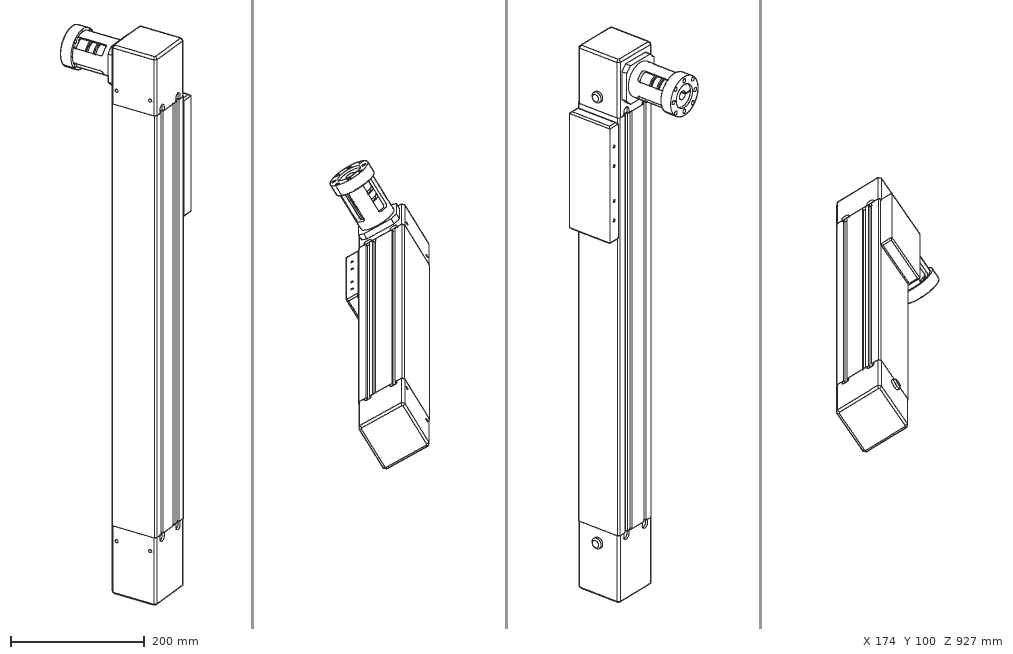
import cadquery as cq
import math


beam_width = 80.0
half_width = beam_width / 2
axis_length = 927
end_housing_top = 116.0
drive_housing_bottom = 829.0
housing_chamfer = 4.0
profile_chamfer = 3.0

side_hole_diameter = 5.0
side_hole_depth = 9.0
side_hole_offset = 30.0
drive_hole_z = 853.0
end_hole_z = 92.0
button_diameter = 18.0
button_height = 6.5
button_chamfer = 3.0

slot_width = 6.0
slot_depth = 4.0
slot_offset = 22.0
sensor_slot_y = 11.0
notch_width = 12.0
notch_length = 12.0

carriage_width = 78.0
carriage_length = 200.0
carriage_centre_z = 722.0
carriage_top = 60.0
carriage_chamfer = 3.0
carriage_hole_diameter = 4.2
carriage_hole_depth = 7.0
carriage_hole_inset = 10.0
carriage_hole_offsets = (30.0, 63.0)

adapter_z = 882.5
adapter_length = 94.0
adapter_front = -half_width - adapter_length
base_size = 66.0
base_thickness = 9.0
base_corner = 9.0
tube_diameter = 57.5
tube_bore = 44.0
flange_diameter = 66.0
flange_thickness = 19.0
flange_bore = 39.0
flange_hole_diameter = 6.5
straight_hole_radius = 26.0
diagonal_hole_radius = 29.0
window_width = 19.0
window_length = 51.0
window_corner = 4.0

coupling_recess = 4.0
coupling_front = adapter_front + coupling_recess
coupling_diameter = 38.0
coupling_bore = 14.0
coupling_waist_diameter = 31.0
front_hub_length = 31.0
waist_length = 5.0
spider_length = 9.0
clamp_slit = 1.4


def box_between(x_range, y_range, z_range):
    """Box given by its lower and upper limits along each axis."""
    limits = (x_range, y_range, z_range)
    sizes = [upper - lower for lower, upper in limits]
    corner = cq.Vector(*[lower for lower, _ in limits])
    return cq.Workplane(cq.Solid.makeBox(*sizes, corner))


def x_cylinder(diameter, x_start, length, y=0, z=adapter_z):
    """Cylinder whose axis runs along +X from x_start."""
    start = cq.Vector(x_start, y, z)
    return cq.Workplane(cq.Solid.makeCylinder(diameter / 2, length, start, cq.Vector(1, 0, 0)))


def y_cylinder(diameter, y_start, length, x, z):
    """Cylinder whose axis runs along +Y from y_start."""
    start = cq.Vector(x, y_start, z)
    return cq.Workplane(cq.Solid.makeCylinder(diameter / 2, length, start, cq.Vector(0, 1, 0)))


def notch(side, y, joint_z, direction):
    """Round-ended pocket that runs from the profile joint into the housing side."""
    radius = notch_width / 2
    x_start = half_width - slot_depth if side > 0 else -half_width
    round_z = joint_z + direction * (notch_length - radius)
    z_range = sorted((joint_z, round_z))
    x_range = (x_start, x_start + slot_depth)
    straight = box_between(x_range, (y - radius, y + radius), z_range)
    return straight.union(x_cylinder(notch_width, x_start, slot_depth, y, round_z))


def make_housing(bottom, top, outer_face, hole_z, joint_z, direction):
    """End block of the axis; outer_face selects its free end, direction points away from the joint."""
    block = cq.Workplane("XY").box(beam_width, beam_width, top - bottom)
    block = block.translate((0, 0, (top + bottom) / 2))
    block = block.edges("|Z").chamfer(housing_chamfer)
    block = block.faces(outer_face).chamfer(housing_chamfer)
    for x in (-side_hole_offset, side_hole_offset):
        block = block.cut(y_cylinder(side_hole_diameter, -half_width, side_hole_depth, x, hole_z))
    for side in (-1, 1):
        for y in (-slot_offset, slot_offset):
            block = block.cut(notch(side, y, joint_z, direction))
    button = y_cylinder(button_diameter, half_width, button_height, 0, hole_z)
    return block.union(button.faces(">Y").chamfer(button_chamfer))


def make_profile():
    """Extruded beam between the two housings."""
    length = drive_housing_bottom - end_housing_top
    beam = cq.Workplane("XY").workplane(offset=end_housing_top)
    beam = beam.rect(beam_width, beam_width).extrude(length)
    beam = beam.edges("|Z").chamfer(profile_chamfer)
    z_range = (end_housing_top, drive_housing_bottom)
    for y in (-slot_offset, sensor_slot_y, slot_offset):
        y_range = (y - slot_width / 2, y + slot_width / 2)
        beam = beam.cut(box_between((-half_width, slot_depth - half_width), y_range, z_range))
        beam = beam.cut(box_between((half_width - slot_depth, half_width), y_range, z_range))
    return beam


def make_carriage():
    """Sliding plate on the +Y face of the profile."""
    half_length = carriage_length / 2
    plate = box_between(
        (-carriage_width / 2, carriage_width / 2),
        (half_width, carriage_top),
        (carriage_centre_z - half_length, carriage_centre_z + half_length),
    )
    plate = plate.faces("<Z or >Z").chamfer(carriage_chamfer)
    hole_y = carriage_top - carriage_hole_inset
    for offset in carriage_hole_offsets:
        for z in (carriage_centre_z - offset, carriage_centre_z + offset):
            plate = plate.cut(
                x_cylinder(carriage_hole_diameter, -carriage_width / 2, carriage_hole_depth, hole_y, z)
            )
    return plate


def make_adapter():
    """Tube with a square base on the housing and a round motor flange at its free end."""
    base = box_between(
        (-half_width - base_thickness, -half_width),
        (-base_size / 2, base_size / 2),
        (adapter_z - base_size / 2, adapter_z + base_size / 2),
    )
    base = base.edges("|X").chamfer(base_corner)
    tube = x_cylinder(tube_diameter, adapter_front, adapter_length)
    flange = x_cylinder(flange_diameter, adapter_front, flange_thickness)
    body = base.union(tube).union(flange)
    flange_back = adapter_front + flange_thickness
    body = body.cut(x_cylinder(tube_bore, flange_back, adapter_length - flange_thickness))
    body = body.cut(x_cylinder(flange_bore, adapter_front, flange_thickness))

    flange_holes = 8
    for step in range(flange_holes):
        radius = diagonal_hole_radius if step % 2 else straight_hole_radius
        angle = 2 * math.pi * step / flange_holes
        y = radius * math.cos(angle)
        z = adapter_z + radius * math.sin(angle)
        body = body.cut(x_cylinder(flange_hole_diameter, adapter_front, flange_thickness, y, z))

    window = box_between(
        (flange_back, flange_back + window_length),
        (-window_width / 2, window_width / 2),
        (adapter_z, adapter_z + tube_diameter),
    )
    window = window.edges("|Z").fillet(window_corner)
    axis_start = (0, 0, adapter_z)
    axis_end = (1, 0, adapter_z)
    for angle in (45, 135, 225, 315):
        body = body.cut(window.rotate(axis_start, axis_end, angle))
    return body


def make_coupling():
    """Clamp coupling: two hubs and a spider between two waists, with a slit in the front hub."""
    body = x_cylinder(coupling_diameter, coupling_front, -half_width - coupling_front)
    first_waist = coupling_front + front_hub_length
    second_waist = first_waist + waist_length + spider_length
    for start in (first_waist, second_waist):
        ring = x_cylinder(coupling_diameter, start, waist_length)
        ring = ring.cut(x_cylinder(coupling_waist_diameter, start, waist_length))
        body = body.cut(ring)
    body = body.cut(x_cylinder(coupling_bore, coupling_front, front_hub_length))
    slit = box_between(
        (coupling_front, first_waist),
        (-coupling_diameter, 0),
        (adapter_z - clamp_slit / 2, adapter_z + clamp_slit / 2),
    )
    return body.cut(slit)


drive_housing = make_housing(
    drive_housing_bottom, axis_length, ">Z", drive_hole_z, drive_housing_bottom, 1
)
end_housing = make_housing(0, end_housing_top, "<Z", end_hole_z, end_housing_top, -1)
profile = make_profile()
carriage = make_carriage()
adapter = make_adapter()
coupling = make_coupling()

bodies = (drive_housing, end_housing, profile, carriage, adapter, coupling)
result = cq.Compound.makeCompound([body.val() for body in bodies])